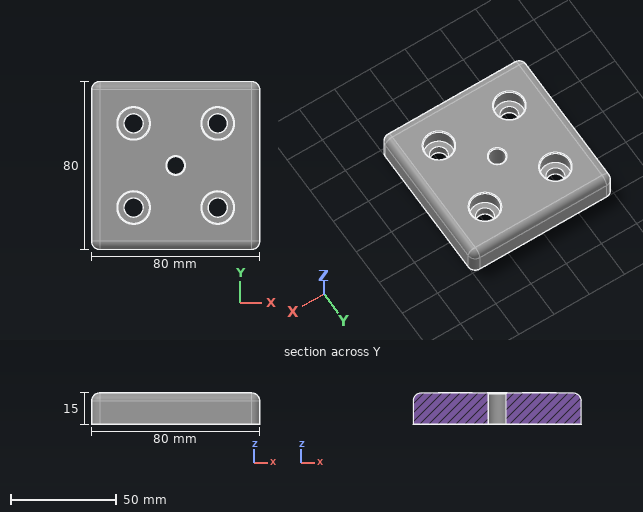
import cadquery as cq

SIDE = 80.0
THICKNESS = 15.0
EDGE_RADIUS = 4.0

HOLE_SPACING = 40.0
HOLE_DIAMETER = 9.0
COUNTERBORE_DIAMETER = 15.0
COUNTERBORE_DEPTH = 9.0

CENTER_DIAMETER = 8.38

MOUTH_CHAMFER = 0.5


def rounded_plate():
    """Square plate with rounded vertical edges and a rounded top rim, base at Z = 0."""
    plate = cq.Workplane("XY").box(SIDE, SIDE, THICKNESS, centered=(True, True, False))
    return plate.edges("|Z or >Z").fillet(EDGE_RADIUS)


def chamfered_bore(diameter, depth):
    """Cutter reaching down from the top face, widened by a chamfer at its mouth."""
    radius = diameter / 2
    mouth_radius = radius + MOUTH_CHAMFER
    profile = [
        (0, THICKNESS - depth),
        (radius, THICKNESS - depth),
        (radius, THICKNESS - MOUTH_CHAMFER),
        (mouth_radius, THICKNESS),
        (0, THICKNESS),
    ]
    return cq.Workplane("XZ").polyline(profile).close().revolve(360, (0, 0), (0, 1))


def mounting_hole():
    """Through hole with a chamfered counterbore in the top face."""
    through_hole = cq.Workplane("XY").circle(HOLE_DIAMETER / 2).extrude(THICKNESS)
    return through_hole.union(chamfered_bore(COUNTERBORE_DIAMETER, COUNTERBORE_DEPTH))


result = rounded_plate()
result = result.cut(chamfered_bore(CENTER_DIAMETER, THICKNESS))
for x_side in (-1, 1):
    for y_side in (-1, 1):
        hole_position = (x_side * HOLE_SPACING / 2, y_side * HOLE_SPACING / 2, 0)
        result = result.cut(mounting_hole().translate(hole_position))